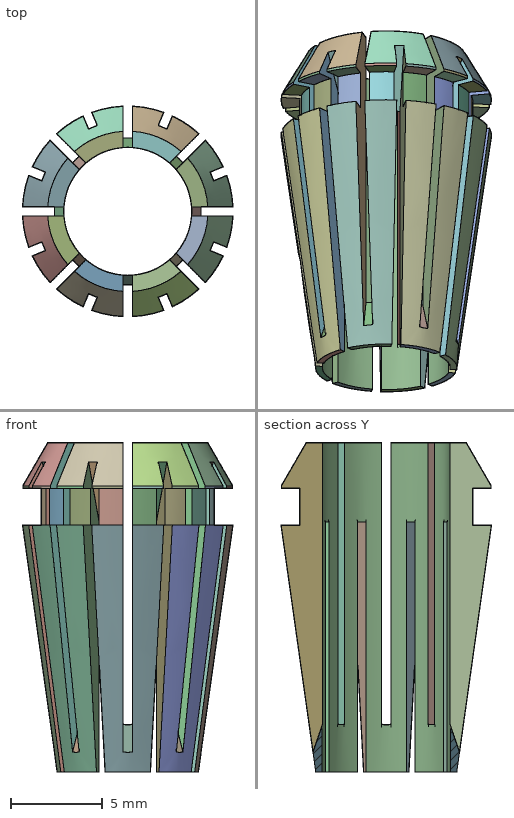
import cadquery as cq
import math

length = 18.0
body_radius = 5.76
collar_radius = 5.75
bore_radius = 3.5
body_taper = 8.0
body_height = 13.5
neck_radius = 4.73
neck_height = 2.0
rim_height = 0.15
collar_taper = 30.0

slot_count = 8
slot_width = 0.5
slot_pitch = 360.0 / slot_count
top_slot_floor = 1.08
top_slot_floor_bore = 2.6
bottom_slot_roof = 16.95
bottom_slot_roof_bore = 13.68

body_slope = math.tan(math.radians(body_taper))
collar_slope = math.tan(math.radians(collar_taper))
bottom_radius = body_radius - body_height * body_slope
collar_bottom = body_height + neck_height
cone_bottom = collar_bottom + rim_height
top_radius = collar_radius - (length - cone_bottom) * collar_slope
cut_margin = 0.9


def sleeve():
    """Tapered body, neck and conical collar revolved around the bore."""
    profile = [
        (bore_radius, 0),
        (bottom_radius, 0),
        (body_radius, body_height),
        (neck_radius, body_height),
        (neck_radius, collar_bottom),
        (collar_radius, collar_bottom),
        (collar_radius, cone_bottom),
        (top_radius, length),
        (bore_radius, length),
    ]
    return cq.Workplane("XZ").polyline(profile).close().revolve(360, (0, 0), (0, 1))


def slot_cutter(outer_radius, outer_end, bore_end, open_end):
    """Radial slot along +X with a sloped closed end.

    The slope runs from height outer_end at outer_radius to height bore_end at the bore.
    """
    slope = (outer_end - bore_end) / (outer_radius - bore_radius)
    inside = bore_radius - cut_margin
    outside = body_radius + cut_margin
    outline = [
        (inside, open_end),
        (inside, bore_end - slope * cut_margin),
        (outside, outer_end + slope * (outside - outer_radius)),
        (outside, open_end),
    ]
    return cq.Workplane("XZ").polyline(outline).close().extrude(slot_width / 2, both=True)


def cut_around(part, cutter, first_angle):
    """Cut the same slot at every pitch step around the axis."""
    for i in range(slot_count):
        part = part.cut(cutter.rotate((0, 0, 0), (0, 0, 1), first_angle + i * slot_pitch))
    return part


top_slot = slot_cutter(
    bottom_radius + top_slot_floor * body_slope,
    top_slot_floor,
    top_slot_floor_bore,
    length + cut_margin,
)
bottom_slot = slot_cutter(
    top_radius + (length - bottom_slot_roof) * collar_slope,
    bottom_slot_roof,
    bottom_slot_roof_bore,
    -cut_margin,
)

result = cut_around(sleeve(), top_slot, 0)
result = cut_around(result, bottom_slot, slot_pitch / 2)